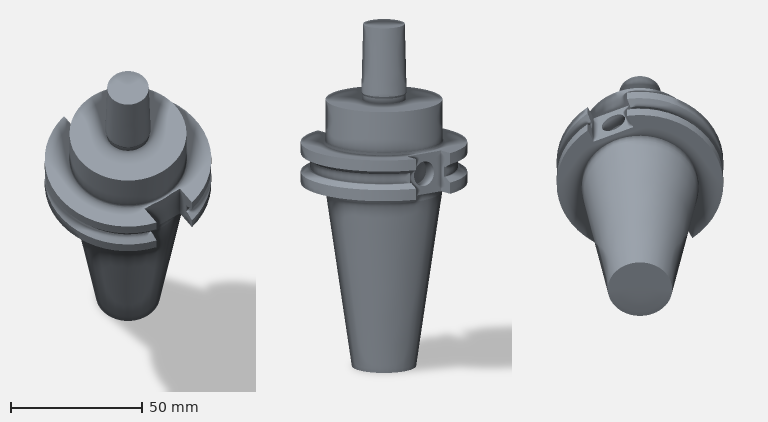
import cadquery as cq
import math

SHANK_LENGTH = 68.4
GAUGE_DIAMETER = 44.5
SHANK_TAPER = 7 / 24
SHANK_TIP_DIAMETER = GAUGE_DIAMETER - SHANK_TAPER * SHANK_LENGTH

COLLAR_HEIGHT = 3.2
FLANGE_DIAMETER = 63.4
FLANGE_HEIGHT = 15.9
GROOVE_FLOOR_DIAMETER = 56.2
GROOVE_MOUTH_WIDTH = 7.2
GROOVE_FLOOR_WIDTH = 4.0
GROOVE_FLANK_ANGLE = 30.0
FLANGE_BOTTOM = SHANK_LENGTH + COLLAR_HEIGHT
FLANGE_TOP = FLANGE_BOTTOM + FLANGE_HEIGHT
FLANGE_MIDDLE = (FLANGE_BOTTOM + FLANGE_TOP) / 2

HUB_DIAMETER = 44.5
HUB_HEIGHT = 16.7
HUB_FOOT_FILLET = 0.8
HUB_TOP = FLANGE_TOP + HUB_HEIGHT

TOTAL_HEIGHT = 133.5
NECK_DIAMETER = 16.4
NECK_HEIGHT = 2.0
NECK_CONE_HEIGHT = 0.8
SPIGOT_BASE_DIAMETER = 17.2
SPIGOT_TAPER = 0.052
NECK_TOP = HUB_TOP + NECK_HEIGHT
SPIGOT_BOTTOM = NECK_TOP + NECK_CONE_HEIGHT
SPIGOT_TIP_DIAMETER = SPIGOT_BASE_DIAMETER - SPIGOT_TAPER * (TOTAL_HEIGHT - SPIGOT_BOTTOM)

SLOT_WIDTH = 16.4
LEFT_SLOT_FLOOR = 25.0
RIGHT_SLOT_FLOOR = 22.7

HOLE_DIAMETER = 9.6
HOLE_DEPTH = 5.0


def turned_body():
    """Revolve the half outline of the shank, flange, hub and spigot about Z."""
    flange_radius = FLANGE_DIAMETER / 2
    groove_radius = GROOVE_FLOOR_DIAMETER / 2
    hub_radius = HUB_DIAMETER / 2
    mouth = GROOVE_MOUTH_WIDTH / 2
    floor = GROOVE_FLOOR_WIDTH / 2
    flank_depth = (mouth - floor) / math.tan(math.radians(GROOVE_FLANK_ANGLE))
    ledge_radius = flange_radius - flank_depth
    fillet = HUB_FOOT_FILLET
    fillet_inset = fillet * (1 - math.sqrt(0.5))

    outline = (
        cq.Workplane("XZ")
        .moveTo(0, 0)
        .lineTo(SHANK_TIP_DIAMETER / 2, 0)
        .lineTo(GAUGE_DIAMETER / 2, SHANK_LENGTH)
        .lineTo(GAUGE_DIAMETER / 2, FLANGE_BOTTOM)
        .lineTo(flange_radius, FLANGE_BOTTOM)
        .lineTo(flange_radius, FLANGE_MIDDLE - mouth)
        .lineTo(ledge_radius, FLANGE_MIDDLE - floor)
        .lineTo(groove_radius, FLANGE_MIDDLE - floor)
        .lineTo(groove_radius, FLANGE_MIDDLE + floor)
        .lineTo(ledge_radius, FLANGE_MIDDLE + floor)
        .lineTo(flange_radius, FLANGE_MIDDLE + mouth)
        .lineTo(flange_radius, FLANGE_TOP)
        .lineTo(hub_radius + fillet, FLANGE_TOP)
        .threePointArc(
            (hub_radius + fillet_inset, FLANGE_TOP + fillet_inset),
            (hub_radius, FLANGE_TOP + fillet),
        )
        .lineTo(hub_radius, HUB_TOP)
        .lineTo(NECK_DIAMETER / 2, HUB_TOP)
        .lineTo(NECK_DIAMETER / 2, NECK_TOP)
        .lineTo(SPIGOT_BASE_DIAMETER / 2, SPIGOT_BOTTOM)
        .lineTo(SPIGOT_TIP_DIAMETER / 2, TOTAL_HEIGHT)
        .lineTo(0, TOTAL_HEIGHT)
        .close()
    )
    return outline.revolve(360, (0, 0, 0), (0, 1, 0))


def drive_slot(side, floor_distance):
    """Block that cuts a drive slot on the +X (side = 1) or -X (side = -1) flank of the flange."""
    depth = FLANGE_DIAMETER / 2 - floor_distance
    center_x = side * (floor_distance + depth / 2)
    return cq.Workplane("XY").box(depth, SLOT_WIDTH, FLANGE_HEIGHT).translate((center_x, 0, FLANGE_MIDDLE))


def slot_hole():
    """Cylinder that runs from the -X slot floor toward the axis."""
    return (
        cq.Workplane("YZ", origin=(-LEFT_SLOT_FLOOR, 0, FLANGE_MIDDLE))
        .circle(HOLE_DIAMETER / 2)
        .extrude(HOLE_DEPTH)
    )


result = (
    turned_body()
    .cut(drive_slot(-1, LEFT_SLOT_FLOOR))
    .cut(drive_slot(1, RIGHT_SLOT_FLOOR))
    .cut(slot_hole())
)